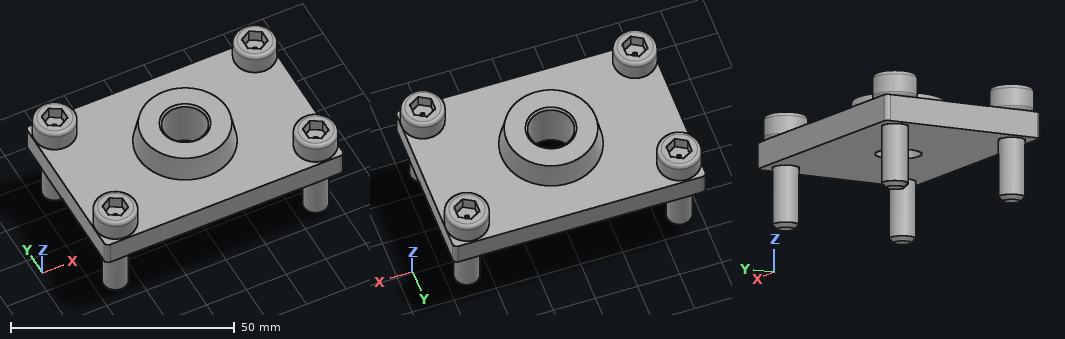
import cadquery as cq

plate_length = 60.05
plate_width = 39.75
plate_thickness = 6.0
plate_corner_radius = 1.0

boss_base_diameter = 23.4
boss_top_diameter = 20.95
bore_diameter = 10.5
bore_chamfer = 0.5

head_diameter = 10.0
head_height = 6.0
head_edge_radius = 0.95
shank_diameter = 6.0
shank_length = 20.0
shank_tip_chamfer = 0.95
socket_corner_diameter = 5.8
socket_depth = 3.0
center_mark_diameter = 1.0
center_mark_depth = 0.5

screws_overall_length = 60.4
screw_pitch_x = screws_overall_length - head_diameter
screw_pitch_y = 29.9
screw_shift_y = -0.05

boss_height = head_height

screw_positions = [
    (side_x * screw_pitch_x / 2, screw_shift_y + side_y * screw_pitch_y / 2)
    for side_x in (-1, 1)
    for side_y in (-1, 1)
]


def make_plate():
    """Plate with rounded corners, bored conical boss and four fitted screw holes."""
    slab = (
        cq.Workplane("XY")
        .rect(plate_length, plate_width)
        .extrude(plate_thickness)
        .edges("|Z")
        .fillet(plate_corner_radius)
    )
    boss = (
        cq.Workplane("XY", origin=(0, 0, plate_thickness))
        .circle(boss_base_diameter / 2)
        .workplane(offset=boss_height)
        .circle(boss_top_diameter / 2)
        .loft(ruled=True)
    )
    bore = cq.Workplane("XY").circle(bore_diameter / 2).extrude(plate_thickness + boss_height)
    screw_holes = (
        cq.Workplane("XY")
        .pushPoints(screw_positions)
        .circle(shank_diameter / 2)
        .extrude(plate_thickness)
    )
    plate = slab.union(boss).cut(bore).cut(screw_holes)
    bore_rim = cq.selectors.RadiusNthSelector(0)
    return plate.faces(">Z").edges(bore_rim).chamfer(bore_chamfer)


def make_screw(x, y):
    """Socket head screw standing on the plate, its hexagon corners pointing along Y."""
    head = (
        cq.Workplane("XY")
        .circle(head_diameter / 2)
        .extrude(head_height)
        .edges()
        .fillet(head_edge_radius)
    )
    shank = (
        cq.Workplane("XY")
        .circle(shank_diameter / 2)
        .extrude(-shank_length)
        .faces("<Z")
        .chamfer(shank_tip_chamfer)
    )
    socket = (
        cq.Workplane("XY", origin=(0, 0, head_height))
        .polygon(6, socket_corner_diameter)
        .extrude(-socket_depth)
        .rotate((0, 0, 0), (0, 0, 1), 90)
    )
    center_mark = (
        cq.Workplane("XY", origin=(0, 0, head_height - socket_depth))
        .circle(center_mark_diameter / 2)
        .extrude(-center_mark_depth)
    )
    screw = head.union(shank).cut(socket).cut(center_mark)
    return screw.translate((x, y, plate_thickness))


plate = make_plate()
screws = [make_screw(x, y) for x, y in screw_positions]

result = cq.Compound.makeCompound([plate.val(), *[screw.val() for screw in screws]])